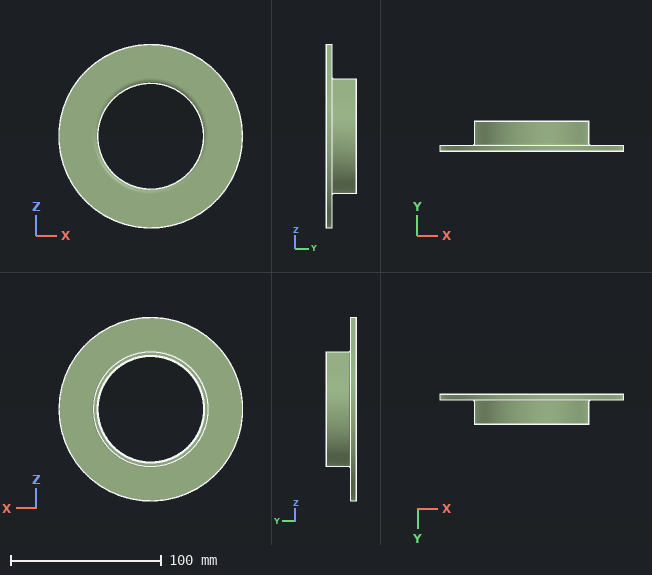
import cadquery as cq
import math

flange_diameter = 122.0
flange_thickness = 4.0
total_length = 20.0
collar_diameter = 76.1
collar_end_wall = 2.3
root_radius = 1.0

mouth_diameter = 77.0
mouth_radius = 4.0
mouth_depth = 2.0

flange_r = flange_diameter / 2
collar_r = collar_diameter / 2
collar_end_bore_r = collar_r - collar_end_wall
mouth_r = mouth_diameter / 2


def mouth_arc_point(depth):
    """Point (radius, Y) on the mouth arc at a given depth below the flange face."""
    inward = math.sqrt(mouth_radius**2 - (mouth_radius - depth) ** 2)
    return (mouth_r - inward, depth)


def root_arc_middle():
    """Middle point (radius, Y) of the concave root fillet."""
    offset = root_radius * (1 - math.sqrt(0.5))
    return (collar_r + offset, flange_thickness + offset)


def flanged_collar():
    """Half section in the XY plane, revolved about Y."""
    section = (
        cq.Workplane("XY")
        .moveTo(mouth_r, 0)
        .lineTo(flange_r, 0)
        .lineTo(flange_r, flange_thickness)
        .lineTo(collar_r + root_radius, flange_thickness)
        .threePointArc(root_arc_middle(), (collar_r, flange_thickness + root_radius))
        .lineTo(collar_r, total_length)
        .lineTo(collar_end_bore_r, total_length)
        .lineTo(*mouth_arc_point(mouth_depth))
        .threePointArc(mouth_arc_point(mouth_depth / 2), (mouth_r, 0))
        .close()
    )
    return section.revolve(360, (0, 0, 0), (0, 1, 0))


result = flanged_collar()